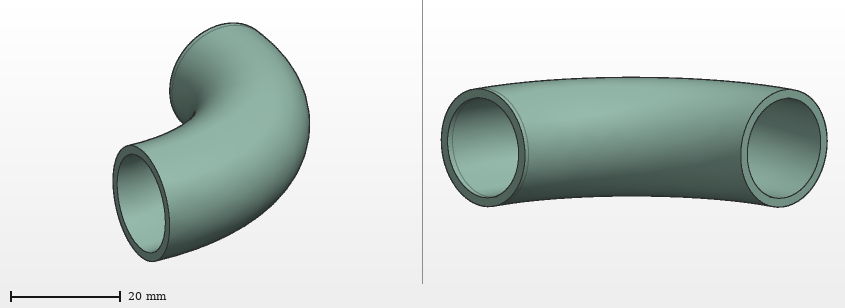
import cadquery as cq
import math

outer_diameter = 21.7
bore_diameter = 18.4
outer_reach = 48.95
bend_angle = 90.6
end_overhang = 1.8
end_tilt = 1.5

bend_radius = outer_reach - outer_diameter / 2
blank_length = outer_diameter / 2


def bend(diameter):
    """Solid round bar swept around the bend axis, starting on the XZ plane."""
    section = cq.Workplane("XZ").center(bend_radius, 0).circle(diameter / 2)
    return section.revolve(bend_angle, (-bend_radius, 0), (-bend_radius, 1))


def straight_stub(diameter):
    """Solid round bar continuing tangentially from the end of the bend."""
    angle = math.radians(bend_angle)
    radial = cq.Vector(math.cos(angle), math.sin(angle), 0)
    tangent = cq.Vector(-math.sin(angle), math.cos(angle), 0)
    end_plane = cq.Plane(origin=radial * bend_radius, xDir=radial, normal=tangent)
    return cq.Workplane(end_plane).circle(diameter / 2).extrude(blank_length)


def trim_block():
    """Block beyond the slightly tilted face that ends the straight stub."""
    tilt = math.radians(end_tilt)
    face = cq.Plane(
        origin=(-end_overhang, outer_reach, 0),
        xDir=(math.sin(tilt), -math.cos(tilt), 0),
        normal=(-math.cos(tilt), -math.sin(tilt), 0),
    )
    block_side = 3 * outer_diameter
    return cq.Workplane(face).rect(block_side, block_side).extrude(2 * blank_length)


bend_wall = bend(outer_diameter).cut(bend(bore_diameter))
stub_wall = straight_stub(outer_diameter).cut(straight_stub(bore_diameter))
result = bend_wall.union(stub_wall.cut(trim_block()))